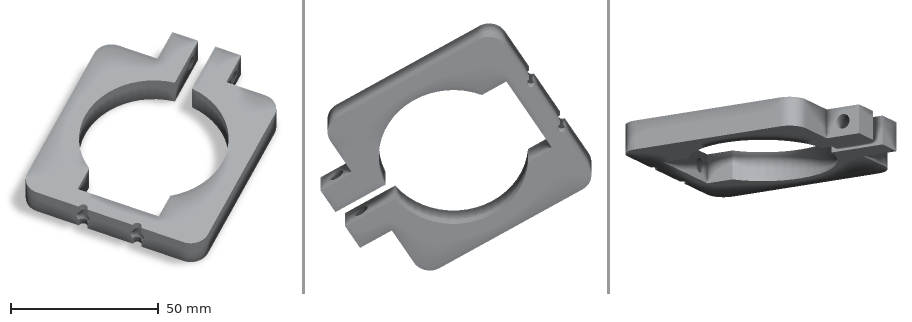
import cadquery as cq

body_width = 66.8
total_length = 82.2
thickness = 10.2
tab_length = 12.7
body_length = total_length - tab_length
corner_radius = 6.3

tabs_width = 25.5
split_width = 6.3
clamp_hole_diameter = 5.1

bore_diameter = 50.7
bore_center_y = 37.2
relief_width = 29.9
edge_wall = 6.9

edge_hole_diameter = 5.0
edge_hole_spacing = 20.0
groove_radius = 1.6


def block(width, y_start, y_end):
    """Full-thickness block centred on X between two Y positions."""
    length = y_end - y_start
    return cq.Workplane("XY").box(width, length, thickness, centered=(True, False, False)).translate(
        (0, y_start, 0)
    )


def vertical_cylinder(radius, x, y):
    """Full-thickness cylinder standing at (x, y)."""
    return cq.Workplane("XY").center(x, y).circle(radius).extrude(thickness)


plate = block(body_width, 0, body_length).edges("|Z").fillet(corner_radius)
result = plate.union(block(tabs_width, body_length - corner_radius, total_length))

result = result.cut(vertical_cylinder(bore_diameter / 2, 0, bore_center_y))
result = result.cut(block(relief_width, edge_wall, bore_center_y))
result = result.cut(block(split_width, bore_center_y, total_length))

clamp_hole = (
    cq.Workplane("YZ")
    .center(total_length - tab_length / 2, thickness / 2)
    .circle(clamp_hole_diameter / 2)
    .extrude(tabs_width / 2, both=True)
)
result = result.cut(clamp_hole)

for x in (-edge_hole_spacing / 2, edge_hole_spacing / 2):
    edge_hole = (
        cq.Workplane("XZ")
        .center(x, thickness / 2)
        .circle(edge_hole_diameter / 2)
        .extrude(-edge_wall)
    )
    result = result.cut(edge_hole)
    result = result.cut(vertical_cylinder(groove_radius, x, 0))